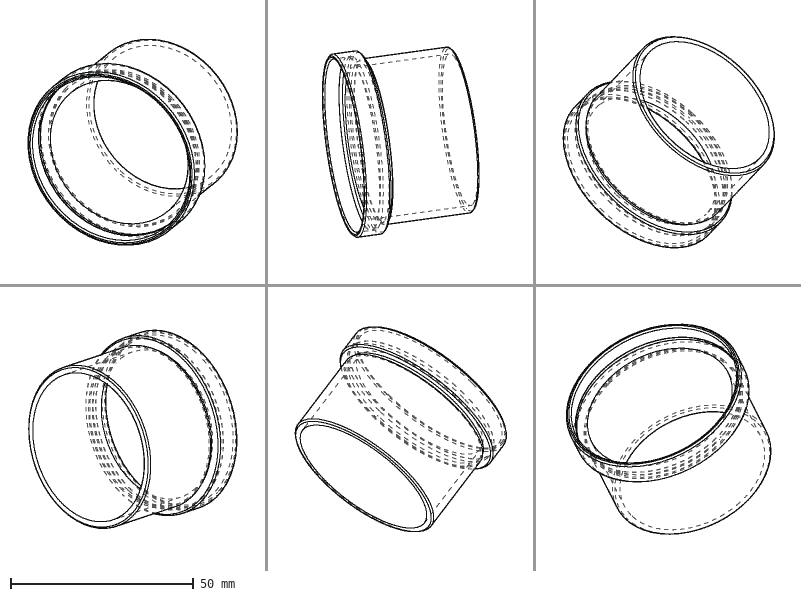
import cadquery as cq

total_length = 32.9
flange_length = 7.5
relief_length = 1.0
recess_depth = 5.5
undercut_length = 1.0

flange_diameter = 50.8
body_diameter = 46.0
relief_diameter = 45.0
bore_diameter = 42.0
recess_diameter = 48.0
undercut_diameter = 48.2

chamfer = 0.5

relief_end = flange_length + relief_length


def cylinder(diameter, start, end):
    """Solid cylinder around the Y axis between two axial stations."""
    toward_positive_y = cq.Plane(origin=(0, start, 0), xDir=(1, 0, 0), normal=(0, 1, 0))
    return cq.Workplane(toward_positive_y).circle(diameter / 2).extrude(end - start)


def make_flange():
    """Front collar, chamfered on both outer edges."""
    return cylinder(flange_diameter, 0, flange_length).edges().chamfer(chamfer)


def make_body():
    """Sleeve with a chamfered rear edge and a relief groove behind the flange."""
    relief = cylinder(relief_diameter, 0, relief_end)
    sleeve = cylinder(body_diameter, relief_end, total_length).faces(">Y").chamfer(chamfer)
    return relief.union(sleeve)


def make_recess():
    """Front counterbore with a flared mouth and a shallow undercut at its floor."""
    recess_radius = recess_diameter / 2
    face_center = cq.Vector(0, 0, 0)
    inward = cq.Vector(0, 1, 0)
    mouth = cq.Solid.makeCone(recess_radius + chamfer, recess_radius, chamfer, face_center, inward)
    pocket = cylinder(recess_diameter, 0, recess_depth)
    undercut = cylinder(undercut_diameter, recess_depth - undercut_length, recess_depth)
    return pocket.union(cq.Workplane(mouth)).union(undercut)


bore = cylinder(bore_diameter, 0, total_length)
result = make_flange().union(make_body()).cut(bore).cut(make_recess())